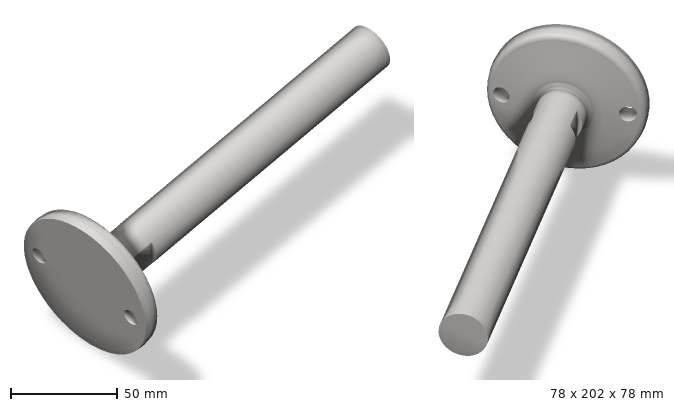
import cadquery as cq
import math

total_length = 202.0
foot_diameter = 78.0
stem_diameter = 24.0

base_radius = 38.5
shoulder_radius = 38.5
rim_height = 3.6
shoulder_height = 6.9
shoulder_fillet = 3.0
cone_angle = math.radians(10)

neck_radius = 11.3
neck_bend_radius = 12.7
neck_bend_height = 14.7
neck_top_height = 16.5
cone_top_radius = 14.5

flat_start = 23.8
flat_length = 13.0
across_flats = 18.8

hole_diameter = 8.5
hole_offset = 28.9
hole_reach = 20.2

foot_radius = foot_diameter / 2
stem_radius = stem_diameter / 2


def make_body():
    """Revolve the foot, neck and stem about the Y axis."""
    cone_edge_radius = shoulder_radius - shoulder_fillet
    cone_edge_height = shoulder_height + shoulder_fillet
    cone_rise = (cone_edge_radius - cone_top_radius) * math.tan(cone_angle)
    arc_middle = (
        cone_edge_radius + shoulder_fillet * math.sqrt(0.5),
        shoulder_height + shoulder_fillet * math.sqrt(0.5),
    )

    profile = (
        cq.Workplane("XY")
        .moveTo(0, 0)
        .lineTo(base_radius, 0)
        .lineTo(foot_radius, rim_height)
        .lineTo(shoulder_radius, shoulder_height)
        .threePointArc(arc_middle, (cone_edge_radius, cone_edge_height))
        .lineTo(cone_top_radius, cone_edge_height + cone_rise)
        .lineTo(neck_bend_radius, neck_bend_height)
        .lineTo(neck_radius, neck_top_height)
        .lineTo(stem_radius, neck_top_height)
        .lineTo(stem_radius, total_length)
        .lineTo(0, total_length)
        .close()
    )
    return profile.revolve(360, (0, 0, 0), (0, 1, 0))


def make_flat_cutter(side):
    """Block that leaves one wrench flat; side is -1 or +1 along X."""
    return (
        cq.Workplane("XY")
        .box(stem_diameter, flat_length, stem_diameter)
        .translate((side * (across_flats + stem_diameter) / 2, flat_start + flat_length / 2, 0))
    )


def make_hole_cutter(side):
    """Cylinder leaning outward by the cone angle, centred on the base plane."""
    axis = cq.Vector(side * math.sin(cone_angle), math.cos(cone_angle), 0)
    start = cq.Vector(side * hole_offset, 0, 0) - axis * hole_reach
    return cq.Solid.makeCylinder(hole_diameter / 2, 2 * hole_reach, start, axis)


result = make_body()
for side in (-1, 1):
    result = result.cut(make_flat_cutter(side))
    result = result.cut(make_hole_cutter(side))